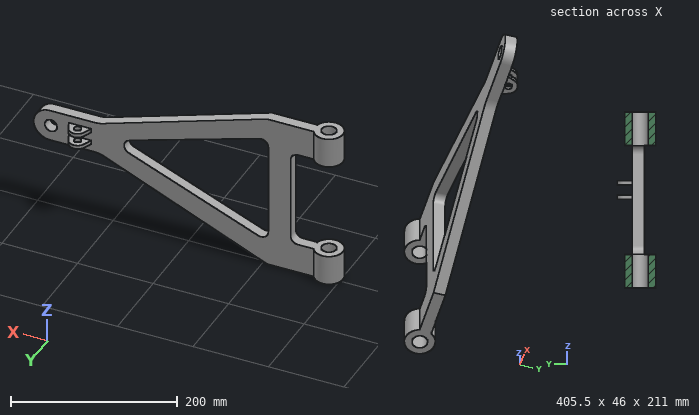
import cadquery as cq
import math

hub_radius = 18.5
hub_bore_diameter = 18.5
hub_length = 40.5
arm_height = 211.0

total_length = 405.5
plate_front = -5.3
plate_back = 9.7
plate_thickness = plate_back - plate_front

tip_radius = 21.5
tip_hole_diameter = 16.2
tip_hole_inset = 23.0
tip_end_x = total_length - hub_radius
tip_x = tip_end_x - tip_radius
tip_hole_x = tip_end_x - tip_hole_inset
tip_z = 117.5

shoulder_x = 77.5
neck_x = 300.0
neck_radius = 30.5
crossbar_left = 46.2
crossbar_right = 76.0
inner_radius = 9.7
corner_reach = 0.5
window_bottom = 33.0
window_top = 183.2
window_apex = (285.8, 118.5)

lug_x = 325.0
lug_radius = 11.5
lug_top = 27.5
lug_center_y = lug_top - lug_radius
lug_half_base = 15.0
lug_hole_diameter = 9.0
lug_thickness = 5.3
lug_spacing = 17.0


def front_plane():
    """Sketch plane with X and Z axes on the front face; its normal is -Y."""
    return cq.Workplane("XZ", origin=(0, plate_front, 0))


def through_plate(sketch):
    return sketch.extrude(-plate_thickness)


def make_plate():
    tip_bottom = tip_z - tip_radius
    tip_top = tip_z + tip_radius
    upper_hub_bottom = arm_height - hub_length
    outline = (
        front_plane()
        .moveTo(0, 0)
        .lineTo(shoulder_x, 0)
        .lineTo(neck_x, tip_bottom)
        .lineTo(tip_x, tip_bottom)
        .threePointArc((tip_end_x, tip_z), (tip_x, tip_top))
        .lineTo(neck_x, tip_top)
        .lineTo(shoulder_x, arm_height)
        .lineTo(0, arm_height)
        .lineTo(0, upper_hub_bottom)
        .lineTo(crossbar_left, upper_hub_bottom)
        .lineTo(crossbar_left, hub_length)
        .lineTo(0, hub_length)
        .close()
    )
    plate = through_plate(outline)
    for x, radius in ((neck_x, neck_radius), (crossbar_left, inner_radius)):
        corners = cq.selectors.BoxSelector(
            (x - corner_reach, plate_front, 0), (x + corner_reach, plate_back, arm_height)
        )
        plate = plate.edges("|Y").edges(corners).fillet(radius)

    window = front_plane().polyline(
        [(crossbar_right, window_bottom), window_apex, (crossbar_right, window_top)]
    ).close()
    plate = plate.cut(through_plate(window).edges("|Y").fillet(inner_radius))

    tip_hole = front_plane().center(tip_hole_x, tip_z).circle(tip_hole_diameter / 2)
    return plate.cut(through_plate(tip_hole))


def make_lug(center_z):
    """Rounded ear whose straight sides run tangent to its round top."""
    base_drop = lug_center_y - plate_back
    base_distance = math.hypot(lug_half_base, base_drop)
    tangent_angle = math.acos(lug_radius / base_distance) - math.atan2(base_drop, lug_half_base)
    tangent_x = lug_radius * math.cos(tangent_angle)
    tangent_y = lug_center_y + lug_radius * math.sin(tangent_angle)
    return (
        cq.Workplane("XY", origin=(lug_x, 0, center_z - lug_thickness / 2))
        .moveTo(-lug_half_base, plate_back)
        .lineTo(lug_half_base, plate_back)
        .lineTo(tangent_x, tangent_y)
        .threePointArc((0, lug_top), (-tangent_x, tangent_y))
        .close()
        .moveTo(0, lug_center_y)
        .circle(lug_hole_diameter / 2)
        .extrude(lug_thickness)
    )


result = make_plate()

for hub_bottom in (0, arm_height - hub_length):
    hub_base = cq.Workplane("XY", origin=(0, 0, hub_bottom))
    result = result.union(hub_base.circle(hub_radius).extrude(hub_length))

bore = cq.Workplane("XY").circle(hub_bore_diameter / 2).extrude(arm_height)
result = result.cut(bore)

for side in (-1, 1):
    result = result.union(make_lug(tip_z + side * lug_spacing / 2))